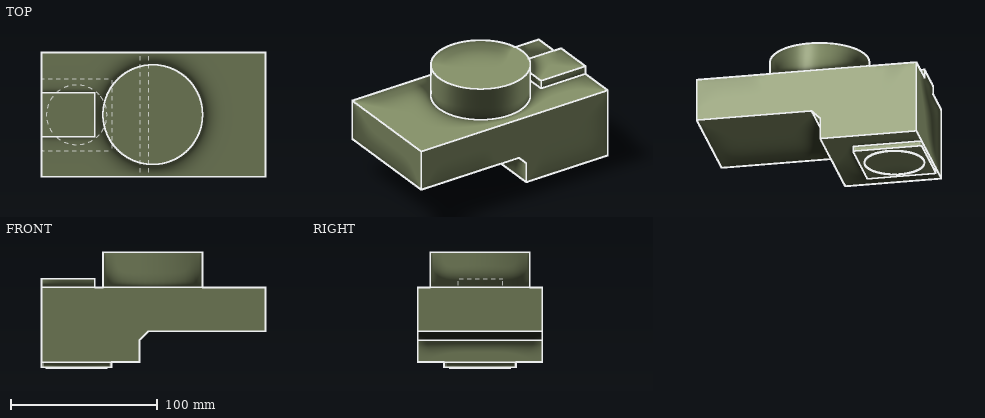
import cadquery as cq

body_length = 153.0
body_width = 85.0
body_height = 51.0
arm_thickness = 30.0
foot_length = 67.0
corner_chamfer = 6.0

boss_diameter = 68.0
boss_height = 24.0
boss_center_x = 76.0

pad_length = 36.5
pad_width = 30.0
pad_height = 6.0

plate_inset = 0.1
plate_length = 47.8
plate_width = 49.2
plate_thickness = 3.5
plate_corner_radius = 2.5 / 2

disc_diameter = 41.0
disc_height = 0.5


def make_body():
    """Stepped side profile, extruded symmetrically about the XZ plane."""
    arm_underside = body_height - arm_thickness
    return (
        cq.Workplane("XZ")
        .moveTo(0, 0)
        .lineTo(foot_length, 0)
        .lineTo(foot_length, arm_underside - corner_chamfer)
        .lineTo(foot_length + corner_chamfer, arm_underside)
        .lineTo(body_length, arm_underside)
        .lineTo(body_length, body_height)
        .lineTo(0, body_height)
        .close()
        .extrude(body_width / 2, both=True)
    )


def make_boss():
    return (
        cq.Workplane("XY", origin=(boss_center_x, 0, body_height))
        .circle(boss_diameter / 2)
        .extrude(boss_height)
    )


def make_pad():
    return (
        cq.Workplane("XY", origin=(pad_length / 2, 0, body_height))
        .rect(pad_length, pad_width)
        .extrude(pad_height)
    )


def make_base_plate():
    """Plate with rounded corners and a concentric disc, both hanging below the foot."""
    center_x = plate_inset + plate_length / 2
    plate = (
        cq.Workplane("XY", origin=(center_x, 0, 0))
        .rect(plate_length, plate_width)
        .extrude(-plate_thickness)
        .edges("|Z")
        .fillet(plate_corner_radius)
    )
    disc = (
        cq.Workplane("XY", origin=(center_x, 0, -plate_thickness))
        .circle(disc_diameter / 2)
        .extrude(-disc_height)
    )
    return plate.union(disc)


result = make_body().union(make_boss()).union(make_pad()).union(make_base_plate())